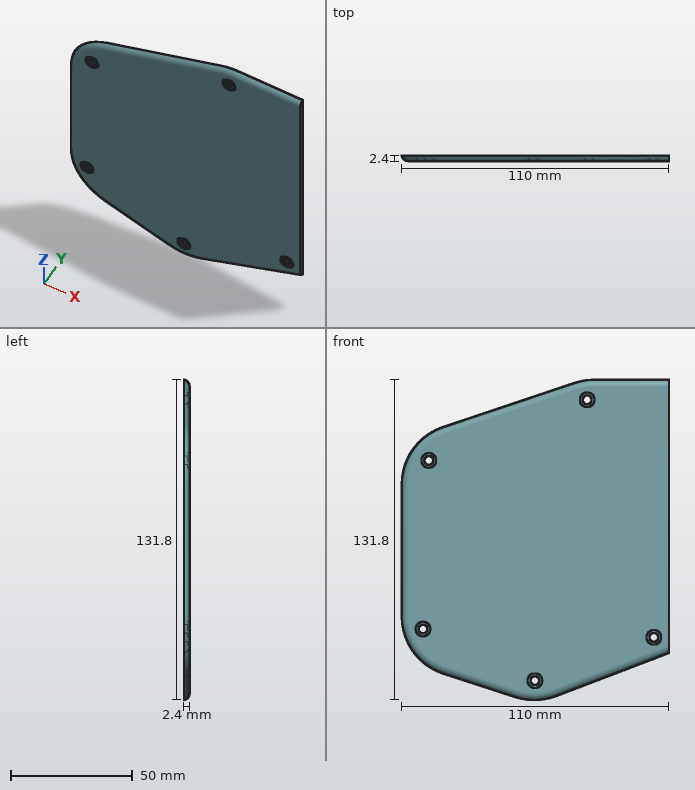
import cadquery as cq
import math

width = 110.0
height = 131.8
thickness = 2.4

corner_radius = 25.0
left_lower_z = 34.7
left_upper_z = 88.5
top_corner_x = 79.2
bottom_corner_x = 54.5
lower_right_angle = 20.9

rim_radius = 3.0

hole_diameter = 3.5
recess_diameter = 6.0
recess_depth = 1.0
hole_centres = [(76.3, 123.5), (11.2, 98.5), (8.8, 29.3), (103.7, 25.8), (54.8, 8.0)]

trim_allowance = 2 * corner_radius


def front_plane(y):
    """Sketch plane with local axes X and Z; its normal points to -Y."""
    return cq.Workplane("XZ", origin=(0, y, 0))


def make_plate():
    """Rounded plate with a straight, square right-hand edge."""
    far_x = width + trim_allowance
    far_z = corner_radius + (far_x - bottom_corner_x) * math.tan(math.radians(lower_right_angle))
    corner_centres = [
        (corner_radius, left_lower_z),
        (corner_radius, left_upper_z),
        (top_corner_x, height - corner_radius),
        (far_x, height - corner_radius),
        (far_x, far_z),
        (bottom_corner_x, corner_radius),
    ]
    rim_width = math.sqrt(rim_radius**2 - (rim_radius - thickness) ** 2)
    blank_offset = corner_radius + rim_radius - rim_width
    blank_depth = 2 * rim_radius
    blank = (
        front_plane(blank_depth)
        .polyline(corner_centres)
        .close()
        .offset2D(blank_offset, "arc")
        .extrude(blank_depth)
        .faces("<Y")
        .edges()
        .fillet(rim_radius)
    )
    envelope = cq.Workplane("XY").box(width, thickness, height, centered=False)
    return blank.intersect(envelope)


def cut_screw_holes(plate):
    """Through holes with a shallow round recess in the front face."""
    holes = front_plane(thickness).pushPoints(hole_centres).circle(hole_diameter / 2).extrude(thickness)
    recesses = (
        front_plane(recess_depth)
        .pushPoints(hole_centres)
        .circle(recess_diameter / 2)
        .extrude(recess_depth)
    )
    return plate.cut(holes).cut(recesses)


result = cut_screw_holes(make_plate())